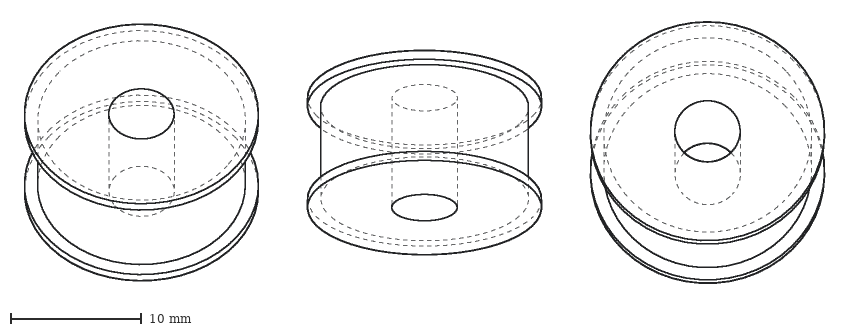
import cadquery as cq

flange_diameter = 17.9
drum_diameter = 15.9
bore_diameter = 5.0
overall_height = 9.2
flange_thickness = 0.75

drum_height = overall_height - 2 * flange_thickness


def add_disc(body, diameter, height):
    """Stack a concentric disc on the top face of the body."""
    return body.faces(">Z").workplane().circle(diameter / 2).extrude(height)


roller = cq.Workplane("XY").circle(flange_diameter / 2).extrude(flange_thickness)
roller = add_disc(roller, drum_diameter, drum_height)
roller = add_disc(roller, flange_diameter, flange_thickness)

result = roller.faces(">Z").workplane().hole(bore_diameter)